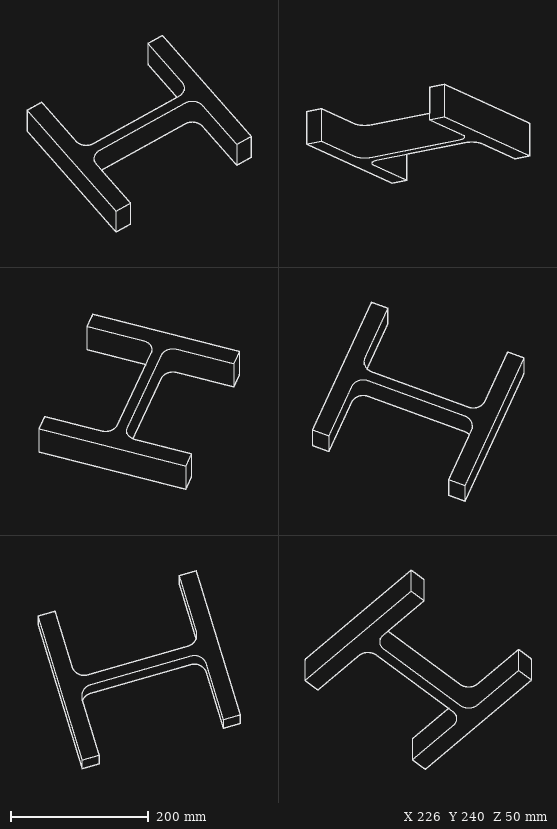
import cadquery as cq

flange_width = 226.0
section_depth = 240.0
beam_length = 50.0
flange_thickness = 26.0
web_thickness = 15.5
root_radius = 18.0

flange_center_y = (section_depth - flange_thickness) / 2


def make_flange(center_y):
    """Flat flange centred on the given Y position."""
    return cq.Workplane("XY").box(flange_width, flange_thickness, beam_length).translate((0, center_y, 0))


beam = cq.Workplane("XY").box(web_thickness, 2 * flange_center_y, beam_length)
for side in (-1, 1):
    beam = beam.union(make_flange(side * flange_center_y))

inner_corner_box = cq.selectors.BoxSelector(
    (-web_thickness, -flange_center_y, -beam_length),
    (web_thickness, flange_center_y, beam_length),
)
result = beam.edges("|Z").edges(inner_corner_box).fillet(root_radius)